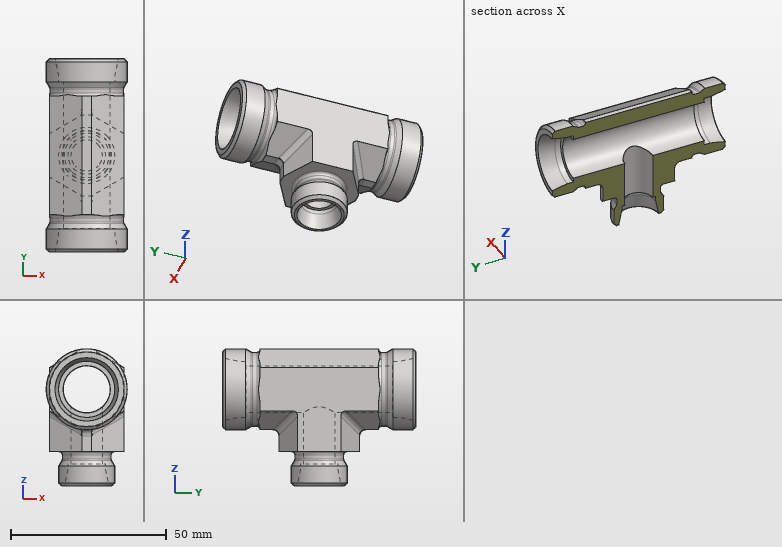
import math

import cadquery as cq

ACROSS_FLATS = 24.0
ACROSS_CORNERS = 25.9
RUN_HALF_LENGTH = 31.0
BRANCH_LENGTH = 31.0
RUN_PORT_LENGTH = 12.0
BRANCH_PORT_LENGTH = 11.0
CROTCH_RADIUS = 2.0

RUN_THREAD_DIAMETER = 26.0
RUN_TUBE_DIAMETER = 18.0
RUN_BORE_DIAMETER = 15.0
RUN_TUBE_DEPTH = 7.5
BRANCH_THREAD_DIAMETER = 18.0
BRANCH_TUBE_DIAMETER = 12.0
BRANCH_BORE_DIAMETER = 10.0
BRANCH_TUBE_DEPTH = 7.0

THREAD_RELIEF = 2.3
RELIEF_LENGTH = 4.6
RUNOUT_ANGLE = 30.0
RUNOUT_RADIUS = 1.0
SHOULDER_RADIUS = 1.0
END_CHAMFER = 1.0
MOUTH_ENLARGEMENT = 2.3
SEAL_HALF_ANGLE = 12.0

RUN_SHOULDER = RUN_HALF_LENGTH - RUN_PORT_LENGTH
BRANCH_SHOULDER = BRANCH_LENGTH - BRANCH_PORT_LENGTH


def hex_bar(plane, start, end):
    """Hexagonal bar along the plane normal, with flats facing X and the two mid corners flattened."""
    hexagon_diameter = ACROSS_FLATS / math.cos(math.radians(30))
    length = end - start
    bar = (
        cq.Workplane(plane)
        .workplane(offset=start)
        .transformed(rotate=(0, 0, 90))
        .polygon(6, hexagon_diameter)
        .extrude(length)
    )
    flattened_box = (
        cq.Workplane(plane)
        .workplane(offset=start)
        .rect(ACROSS_FLATS, ACROSS_CORNERS)
        .extrude(length)
    )
    return bar.intersect(flattened_box)


def on_run_end(shape, side):
    """Move a shape built along +Z onto the +Y (side = 1) or -Y (side = -1) axis."""
    return shape.rotate((0, 0, 0), (1, 0, 0), -90 * side)


def on_branch(shape):
    """Move a shape built along +Z onto the -Z axis."""
    return shape.rotate((0, 0, 0), (1, 0, 0), 180)


def port(thread_diameter, shoulder, end):
    """Turned port along +Z, from the part centre to its end face."""
    thread_radius = thread_diameter / 2
    neck_radius = thread_radius - THREAD_RELIEF / 2
    runout_length = (thread_radius - neck_radius) / math.tan(math.radians(RUNOUT_ANGLE))
    thread_start = shoulder + RELIEF_LENGTH
    runout_start = thread_start - runout_length

    tangent_length = RUNOUT_RADIUS * math.tan(math.radians(RUNOUT_ANGLE / 2))
    blend_start = runout_start - tangent_length

    def blend_point(angle):
        rise = RUNOUT_RADIUS * (1 - math.cos(math.radians(angle)))
        advance = RUNOUT_RADIUS * math.sin(math.radians(angle))
        return (neck_radius + rise, blend_start + advance)

    profile = (
        cq.Workplane("XZ")
        .lineTo(neck_radius, 0)
        .lineTo(neck_radius, blend_start)
        .threePointArc(blend_point(RUNOUT_ANGLE / 2), blend_point(RUNOUT_ANGLE))
        .lineTo(thread_radius, thread_start)
        .lineTo(thread_radius, end - END_CHAMFER)
        .lineTo(thread_radius - END_CHAMFER, end)
        .lineTo(0, end)
        .close()
    )
    return profile.revolve(360, (0, 0, 0), (0, 1, 0))


def shoulder_flare(thread_diameter, shoulder):
    """Concave flare along +Z that blends the shoulder face into the port neck."""
    neck_radius = (thread_diameter - THREAD_RELIEF) / 2
    arc_radius = neck_radius + SHOULDER_RADIUS
    arc_height = shoulder + SHOULDER_RADIUS
    diagonal = SHOULDER_RADIUS * math.cos(math.radians(45))
    profile = (
        cq.Workplane("XZ")
        .moveTo(0, shoulder)
        .lineTo(arc_radius, shoulder)
        .threePointArc((arc_radius - diagonal, arc_height - diagonal), (neck_radius, arc_height))
        .lineTo(0, arc_height)
        .close()
    )
    return profile.revolve(360, (0, 0, 0), (0, 1, 0))


def port_bore(bore_diameter, tube_diameter, tube_depth, end):
    """Cutter along +Z: through bore, tube socket and conical sealing mouth."""
    bore_radius = bore_diameter / 2
    tube_radius = tube_diameter / 2
    mouth_radius = tube_radius + MOUTH_ENLARGEMENT / 2
    seal_depth = (mouth_radius - tube_radius) / math.tan(math.radians(SEAL_HALF_ANGLE))
    profile = (
        cq.Workplane("XZ")
        .lineTo(bore_radius, 0)
        .lineTo(bore_radius, end - tube_depth)
        .lineTo(tube_radius, end - tube_depth)
        .lineTo(tube_radius, end - seal_depth)
        .lineTo(mouth_radius, end)
        .lineTo(0, end)
        .close()
    )
    return profile.revolve(360, (0, 0, 0), (0, 1, 0))


def forged_body():
    """Run and branch bars joined, with filleted crotches."""
    run = hex_bar("XZ", -RUN_SHOULDER, RUN_SHOULDER)
    branch = hex_bar("XY", -BRANCH_SHOULDER, 0)
    body = run.union(branch)

    side_corner = ACROSS_FLATS / 2 * math.tan(math.radians(30))
    margin = 0.1
    reach = ACROSS_CORNERS / 2 + margin
    inner = side_corner - margin
    crotch_edges = cq.Workplane()
    for side in (-1, 1):
        near_corner = (-ACROSS_FLATS, side * inner, -inner)
        far_corner = (ACROSS_FLATS, side * reach, -reach)
        selector = cq.selectors.BoxSelector(near_corner, far_corner, boundingbox=True)
        crotch_edges = crotch_edges.add(body.edges(selector))
    return body.newObject(crotch_edges.vals()).fillet(CROTCH_RADIUS)


run_port = port(RUN_THREAD_DIAMETER, RUN_SHOULDER, RUN_HALF_LENGTH)
run_flare = shoulder_flare(RUN_THREAD_DIAMETER, RUN_SHOULDER)
run_bore = port_bore(RUN_BORE_DIAMETER, RUN_TUBE_DIAMETER, RUN_TUBE_DEPTH, RUN_HALF_LENGTH)
branch_port = port(BRANCH_THREAD_DIAMETER, BRANCH_SHOULDER, BRANCH_LENGTH)
branch_flare = shoulder_flare(BRANCH_THREAD_DIAMETER, BRANCH_SHOULDER)
branch_bore = port_bore(BRANCH_BORE_DIAMETER, BRANCH_TUBE_DIAMETER, BRANCH_TUBE_DEPTH, BRANCH_LENGTH)

result = forged_body()

bar_envelope = hex_bar("XZ", -RUN_HALF_LENGTH, RUN_HALF_LENGTH)
for end_side in (-1, 1):
    result = result.union(on_run_end(run_flare, end_side).intersect(bar_envelope))
    result = result.union(on_run_end(run_port, end_side))
result = result.union(on_branch(branch_flare)).union(on_branch(branch_port))

for end_side in (-1, 1):
    result = result.cut(on_run_end(run_bore, end_side))
result = result.cut(on_branch(branch_bore))